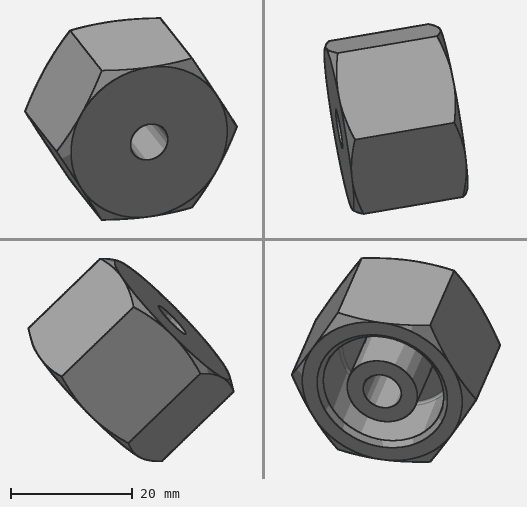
import cadquery as cq
import math

across_corners = 31.18
across_flats = across_corners * math.cos(math.radians(30))
length = 19.0
corner_chamfer_angle = 30.0

recess_radius = 10.15
recess_depth = 12.0
recess_floor_fillet = 0.47
mouth_chamfer = 0.85
post_radius = 5.92
bore_radius = 3.2


def hex_body():
    """Hexagonal prism with its corners turned down conically at both ends."""
    prism = cq.Workplane("YZ").polygon(6, across_corners).extrude(length)
    face_radius = across_flats / 2
    corner_radius = across_corners / 2
    chamfer_length = (corner_radius - face_radius) * math.tan(math.radians(corner_chamfer_angle))
    envelope = (
        cq.Workplane("XY")
        .moveTo(0, 0)
        .lineTo(0, face_radius)
        .lineTo(chamfer_length, corner_radius)
        .lineTo(length - chamfer_length, corner_radius)
        .lineTo(length, face_radius)
        .lineTo(length, 0)
        .close()
        .revolve(360, (0, 0, 0), (1, 0, 0))
    )
    return prism.intersect(envelope)


def annular_recess():
    """Ring-shaped cavity with a chamfered mouth and a rounded outer floor edge."""
    fillet_mid = recess_floor_fillet * (1 - math.sqrt(0.5))
    return (
        cq.Workplane("XY")
        .moveTo(0, post_radius)
        .lineTo(0, recess_radius + mouth_chamfer)
        .lineTo(mouth_chamfer, recess_radius)
        .lineTo(recess_depth - recess_floor_fillet, recess_radius)
        .threePointArc(
            (recess_depth - fillet_mid, recess_radius - fillet_mid),
            (recess_depth, recess_radius - recess_floor_fillet),
        )
        .lineTo(recess_depth, post_radius)
        .close()
        .revolve(360, (0, 0, 0), (1, 0, 0))
    )


def through_bore():
    return cq.Workplane("YZ").circle(bore_radius).extrude(length)


result = hex_body().cut(annular_recess()).cut(through_bore())